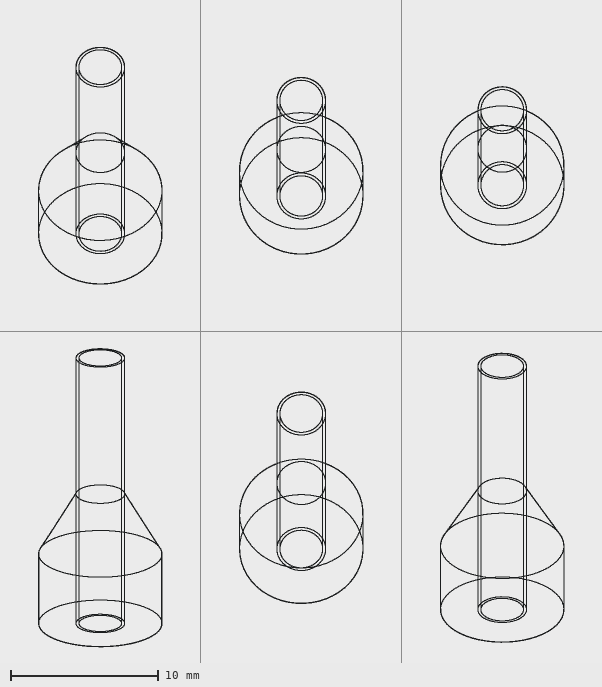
import cadquery as cq

total_length = 19.5
tube_diameter = 3.32
bore_diameter = 2.9
collar_diameter = 8.4
skirt_height = 5.1
collar_height = 9.5

tube_radius = tube_diameter / 2
collar_radius = collar_diameter / 2


def make_tube():
    """Thin-walled wire tube, open at both ends and running the full length."""
    return (
        cq.Workplane("XY")
        .circle(tube_radius)
        .circle(bore_diameter / 2)
        .extrude(total_length)
    )


def make_collar():
    """Collar with a straight skirt and a cone that narrows to the tube; the tube fills its hole."""
    return (
        cq.Workplane("XZ")
        .moveTo(tube_radius, 0)
        .lineTo(collar_radius, 0)
        .lineTo(collar_radius, skirt_height)
        .lineTo(tube_radius, collar_height)
        .close()
        .revolve(360, (0, 0, 0), (0, 1, 0))
    )


tube = make_tube()
collar = make_collar()

result = cq.Compound.makeCompound([tube.val(), collar.val()])